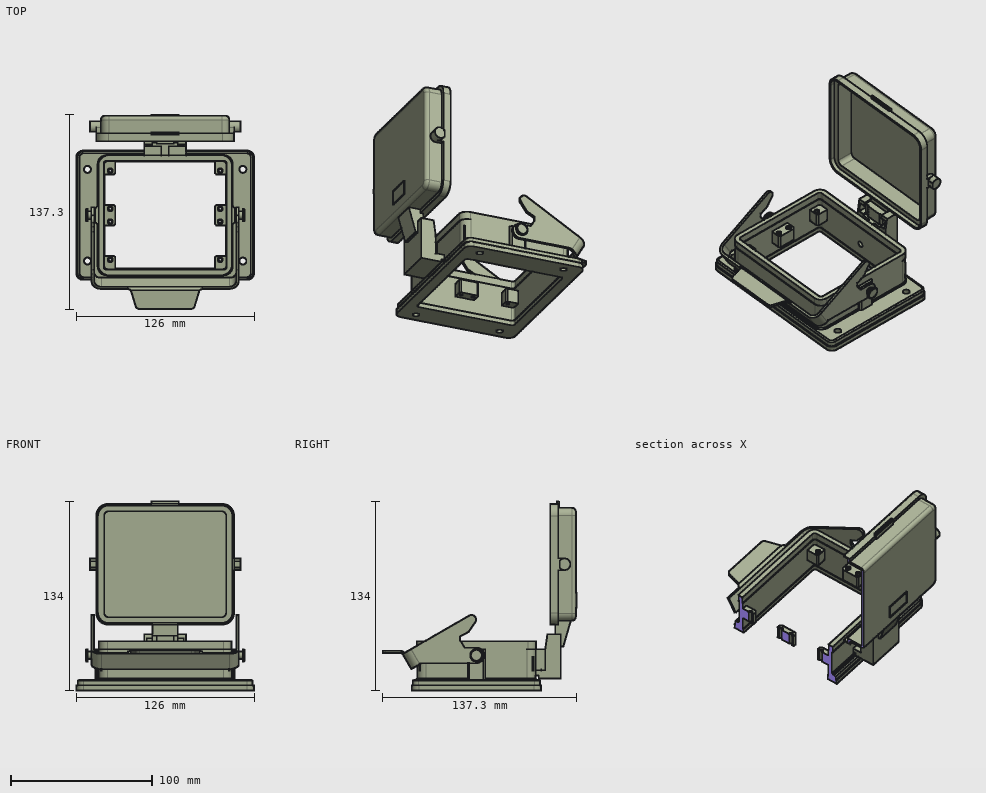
import cadquery as cq
import math


OVERLAP = 1.4

BASE_X, BASE_Y = 126.0, 91.6
BASE_LIP_HEIGHT = 3.7
BASE_HEIGHT = 7.8
BASE_STEP_X, BASE_STEP_Y = 1.1, 0.7
BASE_CORNER = 5.2
BASE_CHAMFER_DROP, BASE_CHAMFER_RUN = 0.7, 1.4
MOUNT_HOLE_X, MOUNT_HOLE_Y = 55.0, 32.4
MOUNT_HOLE_DIAMETER = 4.8

FRAME_TOP = 35.0
RIM_BOTTOM = 29.3
FOOT_CHAMFER = 0.8
FRAME_X = 94.1
RIM_Y, WALL_Y = 84.6, 83.6
WALL_CORNER = 6.0
OPENING_X, OPENING_Y = 85.5, 75.3
OPENING_CORNER = 2.0
OPENING_STEP = 0.4

LUG_REACH = 7.5
LUG_BOTTOM, LUG_TOP = 14.1, 24.2
CORNER_LUG_END_Y = 28.7
CORNER_LUG_HOLE_Y = 31.5
MIDDLE_LUG_HALF_Y = 7.3
MIDDLE_LUG_HOLE_Y = 4.5
LUG_CHAMFER = 1.1
LUG_HOLE_X = 38.9
LUG_HOLE_DIAMETER = 2.2
LUG_SINK_DIAMETER, LUG_SINK_DEPTH = 3.6, 0.7

PIVOT_Z = 25.0
PAD_FACE_X = 49.3
PAD_HALF_Y = 6.2
PAD_CHAMFER = 1.2
SHANK_RADIUS = 2.7
RIVET_HEAD_RADIUS = 4.4
RIVET_HEAD_START_X, RIVET_END_X = 54.8, 56.2
RIVET_CHAMFER = 0.5

LEVER_HALF_X = 52.2
LEVER_SHEET = 1.9
LEVER_BEND = 6.9
LEVER_TILT = 30.0
LEVER_EYE_RADIUS = 5.5
BAND_WIDTH = 12.4
BAND_TOP_Y, BAND_TOP_Z = -52.2, 26.0
TIP_RADIUS = 3.3
TIP_Y = -3.5
TIP_END_ANGLE = -40.0
FINGER_NOTCH = ((-5.5, 41.5), (-11.5, 38.3), (-11.5, 35.7))
EYE_EDGE_END_Y = -8.2
TONGUE_TOP, TONGUE_SHEET = 28.3, 1.8
TONGUE_END_Y = -66.3
TONGUE_BEND_Y = -53.2
TONGUE_ROOT_HALF, TONGUE_BEND_HALF, TONGUE_END_HALF = 26.4, 24.3, 20.3
TONGUE_CORNER = 2.7

BRACKET_HALF_X = 14.8
BRACKET_BACK, BRACKET_FRONT = 59.7, 48.6
BRACKET_TOP_FRONT = 50.1
BRACKET_BOTTOM, BRACKET_TOP = 8.5, 40.0
BRACKET_FOOT_TOP = 14.3
FOOT_FRONT = 44.0
FOOT_NOTCH_TOP = 10.6
WEB_HALF_X = 2.6
WEB_TOP = 29.4
POCKET_HALF_X, POCKET_BACK = 13.2, 54.3
POCKET_BOTTOM, POCKET_TOP = 30.5, 37.2
HINGE_HOLE_DIAMETER = 4.4
HINGE_HOLE_DEPTH = 8.2
HINGE_HOLE_Z = 14.1

ARM_HALF_X = 9.0
ARM_FRONT = 55.6
ARM_BOTTOM, ARM_BOTTOM_Y = 31.2, 61.5
ARM_TOP, ARM_TOP_Y = 50.1, 67.0
KNUCKLE_FRONT, KNUCKLE_TOP = 51.1, 38.9
KNUCKLE_PLATE_HALF_X, KNUCKLE_PLATE_FRONT = 6.0, 50.4

LID_Z = 89.4
LID_FRONT, LID_STEP_Y, LID_BACK = 52.2, 57.8, 70.5
FLANGE_X, FLANGE_Z = 97.5, 85.5
BODY_X, BODY_Z = 90.9, 80.0
FLANGE_CORNER, BODY_CORNER = 8.5, 5.5
BODY_FILLET = 3.0
FLANGE_RIM = 1.2
SEAT_DEPTH = 3.5
CAVITY_X, CAVITY_Z = 86.3, 75.0
CAVITY_CORNER = 3.3
LID_FLOOR = 2.5
BADGE_HALF_X, BADGE_BOTTOM, BADGE_TOP, BADGE_FACE = 9.8, 58.8, 69.2, 71.0

PIN_END_X = 53.3
PIN_Y = 62.4
PIN_RADIUS = 4.1
PIN_FLAT_Y = 58.9
CATCH_HALF_X = 9.8
CATCH_FRONT, CATCH_BACK, CATCH_TOP = 56.9, 58.8, 134.0
CATCH_CHAMFER = 0.8


def box(x0, x1, y0, y1, z0, z1):
    """Box between two opposite corners."""
    return cq.Workplane("XY").box(x1 - x0, y1 - y0, z1 - z0, centered=False).translate((x0, y0, z0))


def upright_block(size_x, size_y, corner, bottom, top):
    """Block centred on the Z axis with rounded upright edges."""
    block = cq.Workplane("XY").workplane(offset=bottom).rect(size_x, size_y).extrude(top - bottom)
    return block.edges("|Z").fillet(corner)


def lid_block(size_x, size_z, corner, front, back):
    """Block centred on the lid, running in Y, with rounded corners."""
    block = cq.Workplane("XZ", origin=(0, front, LID_Z)).rect(size_x, size_z).extrude(front - back)
    return block.edges("|Y").fillet(corner)


def side_profile(points, half_x):
    """Prism with the given (Y, Z) outline, centred across X."""
    return cq.Workplane("YZ").polyline(points).close().extrude(half_x, both=True)


def rod_x(radius, y, z, x0, x1):
    """Rod along X."""
    return cq.Workplane("YZ", origin=(x0, y, z)).circle(radius).extrude(x1 - x0)


def rod_z(diameter, x, y, z0, z1):
    """Rod along Z."""
    return cq.Workplane("XY", origin=(x, y, z0)).circle(diameter / 2).extrude(z1 - z0)


def both_sides(body):
    """The body together with its mirror image across X = 0."""
    return body.union(body.mirror("YZ"))


def base():
    lip = upright_block(BASE_X, BASE_Y, BASE_CORNER, 0, BASE_LIP_HEIGHT)
    plate = upright_block(
        BASE_X - 2 * BASE_STEP_X, BASE_Y - 2 * BASE_STEP_Y, BASE_CORNER - BASE_STEP_X, 0, BASE_HEIGHT
    )
    plate = plate.faces(">Z").chamfer(BASE_CHAMFER_DROP, BASE_CHAMFER_RUN)
    holes = (
        cq.Workplane("XY")
        .rect(2 * MOUNT_HOLE_X, 2 * MOUNT_HOLE_Y, forConstruction=True)
        .vertices()
        .circle(MOUNT_HOLE_DIAMETER / 2)
        .extrude(BASE_HEIGHT)
    )
    return lip.union(plate).cut(holes)


def frame_wall():
    """Upright wall with a chamfered foot and a rim that is slightly longer in Y."""
    growth = 2 * FOOT_CHAMFER
    foot_top = BASE_HEIGHT + FOOT_CHAMFER
    foot = upright_block(FRAME_X + growth, WALL_Y + growth, WALL_CORNER + FOOT_CHAMFER, 0, foot_top)
    foot = foot.faces(">Z").chamfer(FOOT_CHAMFER)
    wall = upright_block(FRAME_X, WALL_Y, WALL_CORNER, 0, RIM_BOTTOM)
    rim = upright_block(FRAME_X, RIM_Y, WALL_CORNER, RIM_BOTTOM, FRAME_TOP)
    return foot.union(wall).union(rim)


def frame_opening():
    """Through opening that widens by a small step above the base lip and again at the rim."""
    opening = upright_block(OPENING_X, OPENING_Y, OPENING_CORNER, 0, FRAME_TOP)
    for step, bottom in enumerate((BASE_LIP_HEIGHT, RIM_BOTTOM), start=1):
        growth = 2 * step * OPENING_STEP
        opening = opening.union(
            upright_block(OPENING_X + growth, OPENING_Y + growth, OPENING_CORNER, bottom, FRAME_TOP)
        )
    return opening


def lug(y0, y1, chamfered_edges, hole_ys):
    """Lug on the inner -X wall, drilled through and counterbored at the top."""
    wall_x = -FRAME_X / 2 + OVERLAP
    body = box(wall_x, -OPENING_X / 2 + LUG_REACH, y0, y1, LUG_BOTTOM, LUG_TOP)
    body = body.edges(chamfered_edges).chamfer(LUG_CHAMFER)
    for y in hole_ys:
        body = body.cut(rod_z(LUG_HOLE_DIAMETER, -LUG_HOLE_X, y, LUG_BOTTOM, LUG_TOP))
        body = body.cut(rod_z(LUG_SINK_DIAMETER, -LUG_HOLE_X, y, LUG_TOP - LUG_SINK_DEPTH, LUG_TOP))
    return body


def lugs():
    middle_holes = (-MIDDLE_LUG_HOLE_Y, MIDDLE_LUG_HOLE_Y)
    middle = lug(-MIDDLE_LUG_HALF_Y, MIDDLE_LUG_HALF_Y, "|Z and >X", middle_holes)
    back = lug(CORNER_LUG_END_Y, WALL_Y / 2 - OVERLAP, "|Z and >X and <Y", (CORNER_LUG_HOLE_Y,))
    return both_sides(middle.union(back).union(back.mirror("XZ")))


def pivot():
    """Pad and rivet that carry one end of the lever, on the -X side."""
    inner_x = -FRAME_X / 2 + OVERLAP
    pad = box(-PAD_FACE_X, inner_x, -PAD_HALF_Y, PAD_HALF_Y, BASE_HEIGHT, RIM_BOTTOM)
    pad = pad.edges("|Z and <X").chamfer(PAD_CHAMFER)
    shank = rod_x(SHANK_RADIUS, 0, PIVOT_Z, -RIVET_END_X, inner_x)
    head = rod_x(RIVET_HEAD_RADIUS, 0, PIVOT_Z, -RIVET_END_X, -RIVET_HEAD_START_X)
    head = head.faces("<X").chamfer(RIVET_CHAMFER)
    return pad.union(shank).union(head)


def lever_outline():
    """Side outline of the lever, running through its full width."""
    tilt = math.radians(LEVER_TILT)
    band_bottom_y = BAND_TOP_Y + BAND_WIDTH * math.sin(tilt)
    band_bottom_z = BAND_TOP_Z - BAND_WIDTH * math.cos(tilt)
    eye_bottom = PIVOT_Z - LEVER_EYE_RADIUS
    eye_top = PIVOT_Z + LEVER_EYE_RADIUS
    slope_end_y = band_bottom_y + (eye_bottom - band_bottom_z) / math.tan(tilt)
    tip_z = BAND_TOP_Z + (TIP_Y - BAND_TOP_Y) * math.tan(tilt) - TIP_RADIUS / math.cos(tilt)

    def on_tip(angle):
        turn = math.radians(angle)
        return TIP_Y + TIP_RADIUS * math.cos(turn), tip_z + TIP_RADIUS * math.sin(turn)

    tip_start_angle = 90 + LEVER_TILT
    outline = cq.Workplane("YZ").moveTo(BAND_TOP_Y, BAND_TOP_Z)
    outline = outline.lineTo(band_bottom_y, band_bottom_z).lineTo(slope_end_y, eye_bottom)
    outline = outline.lineTo(0, eye_bottom).threePointArc((LEVER_EYE_RADIUS, PIVOT_Z), (0, eye_top))
    outline = outline.lineTo(EYE_EDGE_END_Y, eye_top)
    for point in reversed(FINGER_NOTCH):
        outline = outline.lineTo(*point)
    outline = outline.lineTo(*on_tip(TIP_END_ANGLE))
    outline = outline.threePointArc(on_tip((TIP_END_ANGLE + tip_start_angle) / 2), on_tip(tip_start_angle))
    return outline.close().extrude(LEVER_HALF_X, both=True)


def bent_sheet():
    """Sheet bent to a tall U, square to the tilted top edge of the lever."""
    tilt = math.radians(LEVER_TILT)
    plane = cq.Plane(
        origin=(0, BAND_TOP_Y, BAND_TOP_Z), xDir=(1, 0, 0), normal=(0, -math.sin(tilt), math.cos(tilt))
    )
    length = BASE_X
    outer = cq.Sketch().rect(2 * LEVER_HALF_X, length).vertices().fillet(LEVER_BEND)
    inner = cq.Sketch().rect(2 * (LEVER_HALF_X - LEVER_SHEET), length - 2 * LEVER_SHEET)
    inner = inner.vertices().fillet(LEVER_BEND - LEVER_SHEET)
    start = cq.Workplane(plane).center(0, length / 2)
    return start.placeSketch(outer).extrude(length, both=True).cut(
        start.placeSketch(inner).extrude(length, both=True)
    )


def tongue():
    """Thumb tongue that leaves the top of the band and turns level."""
    tilt = math.radians(LEVER_TILT)
    inner_edge = (BAND_TOP_Y + LEVER_SHEET * math.cos(tilt), BAND_TOP_Z + LEVER_SHEET * math.sin(tilt))
    underside = TONGUE_TOP - TONGUE_SHEET
    points = (
        inner_edge,
        (TONGUE_BEND_Y, TONGUE_TOP),
        (TONGUE_END_Y, TONGUE_TOP),
        (TONGUE_END_Y, underside),
        (TONGUE_BEND_Y - TONGUE_SHEET * math.tan(tilt / 2), underside),
        (BAND_TOP_Y, BAND_TOP_Z),
    )
    sheet = side_profile(points, TONGUE_ROOT_HALF)
    plan = (
        cq.Workplane("XY")
        .moveTo(-TONGUE_ROOT_HALF, 0)
        .lineTo(-TONGUE_ROOT_HALF, BAND_TOP_Y)
        .lineTo(-TONGUE_BEND_HALF, TONGUE_BEND_Y)
        .lineTo(-TONGUE_END_HALF, TONGUE_END_Y)
        .lineTo(TONGUE_END_HALF, TONGUE_END_Y)
        .lineTo(TONGUE_BEND_HALF, TONGUE_BEND_Y)
        .lineTo(TONGUE_ROOT_HALF, BAND_TOP_Y)
        .lineTo(TONGUE_ROOT_HALF, 0)
        .close()
        .extrude(FRAME_TOP)
    )
    plan = plan.edges("|Z and <Y").fillet(TONGUE_CORNER)
    return sheet.intersect(plan)


def lever():
    """Locking lever: the bent sheet trimmed to its side outline, with the tongue."""
    return lever_outline().intersect(bent_sheet()).union(tongue())


def bracket():
    """Hinge bracket on the back wall, slotted for the hinge arm and pocketed in both ears."""
    web_front = WALL_Y / 2 - OVERLAP
    body_points = (
        (BRACKET_BACK, BRACKET_BOTTOM),
        (FOOT_FRONT, BRACKET_BOTTOM),
        (FOOT_FRONT, FOOT_NOTCH_TOP),
        (web_front, FOOT_NOTCH_TOP),
        (web_front, BRACKET_FOOT_TOP),
        (BRACKET_FRONT, BRACKET_FOOT_TOP),
        (BRACKET_FRONT, WEB_TOP),
        (BRACKET_TOP_FRONT, BRACKET_TOP),
        (BRACKET_BACK, BRACKET_TOP),
    )
    body = side_profile(body_points, BRACKET_HALF_X)
    slot = box(-ARM_HALF_X, ARM_HALF_X, BRACKET_FRONT, BRACKET_BACK, WEB_TOP, BRACKET_TOP)
    pockets = box(
        -POCKET_HALF_X, POCKET_HALF_X, BRACKET_FRONT, POCKET_BACK, POCKET_BOTTOM, POCKET_TOP
    )
    body = body.cut(slot).cut(pockets)
    web = box(-WEB_HALF_X, WEB_HALF_X, web_front, BRACKET_FRONT + OVERLAP, BRACKET_FOOT_TOP, WEB_TOP)
    return body.union(web)


def hinge_hole():
    hole = cq.Workplane("XZ", origin=(0, OPENING_Y / 2, HINGE_HOLE_Z)).circle(HINGE_HOLE_DIAMETER / 2)
    return hole.extrude(-HINGE_HOLE_DEPTH)


def arm():
    """Tapered arm of the lid, ending in a knuckle that fills the bracket slot."""
    points = (
        (ARM_FRONT, ARM_BOTTOM),
        (ARM_BOTTOM_Y, ARM_BOTTOM),
        (ARM_TOP_Y, ARM_TOP),
        (ARM_FRONT, ARM_TOP),
    )
    knuckle = box(-ARM_HALF_X, ARM_HALF_X, KNUCKLE_FRONT, BRACKET_BACK, WEB_TOP, KNUCKLE_TOP)
    plate = box(
        -KNUCKLE_PLATE_HALF_X, KNUCKLE_PLATE_HALF_X, KNUCKLE_PLATE_FRONT, ARM_FRONT, WEB_TOP, KNUCKLE_TOP
    )
    return side_profile(points, ARM_HALF_X).union(knuckle).union(plate)


def lid():
    flange = lid_block(FLANGE_X, FLANGE_Z, FLANGE_CORNER, LID_FRONT, LID_STEP_Y)
    body = lid_block(BODY_X, BODY_Z, BODY_CORNER, LID_FRONT, LID_BACK)
    body = body.faces(">Y").edges().fillet(BODY_FILLET)
    badge = box(-BADGE_HALF_X, BADGE_HALF_X, LID_BACK - OVERLAP, BADGE_FACE, BADGE_BOTTOM, BADGE_TOP)
    return flange.union(body).union(badge)


def lid_cavity():
    seat = lid_block(
        FLANGE_X - 2 * FLANGE_RIM, FLANGE_Z - 2 * FLANGE_RIM, FLANGE_CORNER - FLANGE_RIM,
        LID_FRONT, LID_FRONT + SEAT_DEPTH,
    )
    return seat.union(lid_block(CAVITY_X, CAVITY_Z, CAVITY_CORNER, LID_FRONT, LID_BACK - LID_FLOOR))


def latch_pin():
    """Pin on the -X side of the lid, cut flat at its end and joined to the flange by a bridge."""
    body_x = -BODY_X / 2 + OVERLAP
    pin = rod_x(PIN_RADIUS, PIN_Y, LID_Z, -PIN_END_X, body_x)
    bottom = LID_Z - PIN_RADIUS
    top = LID_Z + PIN_RADIUS
    pin = pin.cut(box(-PIN_END_X, body_x, PIN_Y - PIN_RADIUS, PIN_FLAT_Y, bottom, top))
    bridge = box(-FLANGE_X / 2, body_x, LID_STEP_Y, PIN_Y, bottom, top)
    return pin.union(bridge)


def catch():
    tab = box(-CATCH_HALF_X, CATCH_HALF_X, CATCH_FRONT, CATCH_BACK, LID_Z + BODY_Z / 2 - OVERLAP, CATCH_TOP)
    return tab.edges("|X and >Z and >Y").chamfer(CATCH_CHAMFER)


frame = base().union(frame_wall()).union(bracket()).cut(frame_opening()).cut(hinge_hole())
frame = frame.union(lugs()).union(both_sides(pivot())).union(lever())

cover = lid().union(arm()).cut(lid_cavity()).union(both_sides(latch_pin())).union(catch())
result = frame.union(cover)